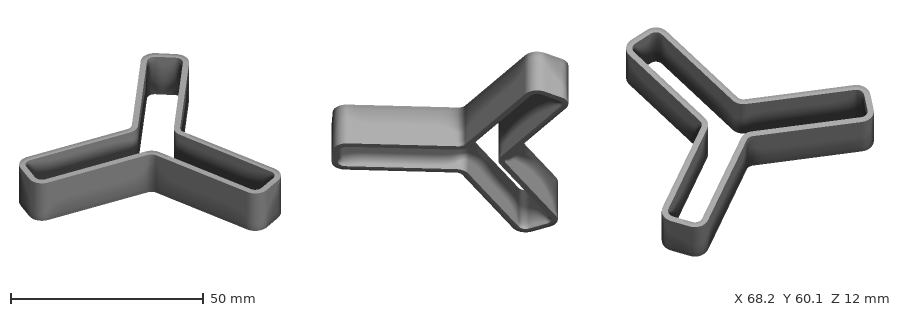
import cadquery as cq
import math

arm_count = 3
arm_length = 37.3
arm_width = 12.6
wall = 1.65
height = 12.0
tight_radius = 2.05
wide_radius = tight_radius + wall

first_arm_angle = -90.0
arm_spacing = 360.0 / arm_count


def star_prism(inset, tip_radius, junction_radius):
    """Solid three-armed star, shrunk by inset, with rounded vertical edges."""
    half_width = arm_width / 2 - inset
    tip = arm_length - inset
    junction_distance = half_width / math.sin(math.radians(arm_spacing / 2))

    outline = []
    for i in range(arm_count):
        angle = math.radians(first_arm_angle + i * arm_spacing)
        for along, across in ((tip, -half_width), (tip, half_width)):
            outline.append((
                along * math.cos(angle) - across * math.sin(angle),
                along * math.sin(angle) + across * math.cos(angle),
            ))
        junction_angle = angle + math.radians(arm_spacing / 2)
        outline.append((
            junction_distance * math.cos(junction_angle),
            junction_distance * math.sin(junction_angle),
        ))

    star = cq.Workplane("XY").polyline(outline).close().extrude(height)
    junction_zone = cq.selectors.BoxSelector(
        (-arm_width, -arm_width, -height), (arm_width, arm_width, 2 * height)
    )
    vertical_edges = cq.selectors.ParallelDirSelector(cq.Vector(0, 0, 1))
    star = star.edges(vertical_edges - junction_zone).fillet(tip_radius)
    return star.edges(vertical_edges & junction_zone).fillet(junction_radius)


outer = star_prism(0, tip_radius=wide_radius, junction_radius=tight_radius)
opening = star_prism(wall, tip_radius=tight_radius, junction_radius=wide_radius)
result = outer.cut(opening)